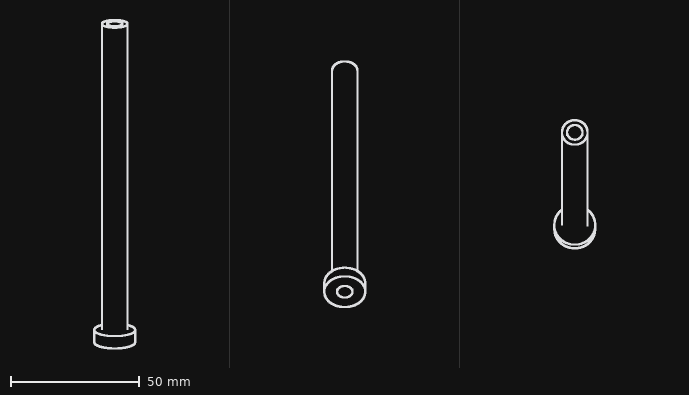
import cadquery as cq

total_length = 130.0
head_diameter = 16.0
head_thickness = 5.1
shaft_diameter = 10.0
bore_diameter = 6.0
neck_fillet = 0.5

head_radius = head_diameter / 2
shaft_radius = shaft_diameter / 2
profile = (
    cq.Workplane("XZ")
    .lineTo(head_radius, 0)
    .lineTo(head_radius, head_thickness)
    .lineTo(shaft_radius + neck_fillet, head_thickness)
    .radiusArc((shaft_radius, head_thickness + neck_fillet), neck_fillet)
    .lineTo(shaft_radius, total_length)
    .lineTo(0, total_length)
    .close()
)
body = profile.revolve(360, (0, 0, 0), (0, 1, 0))

bore = cq.Workplane("XY").circle(bore_diameter / 2).extrude(total_length)

result = body.cut(bore)